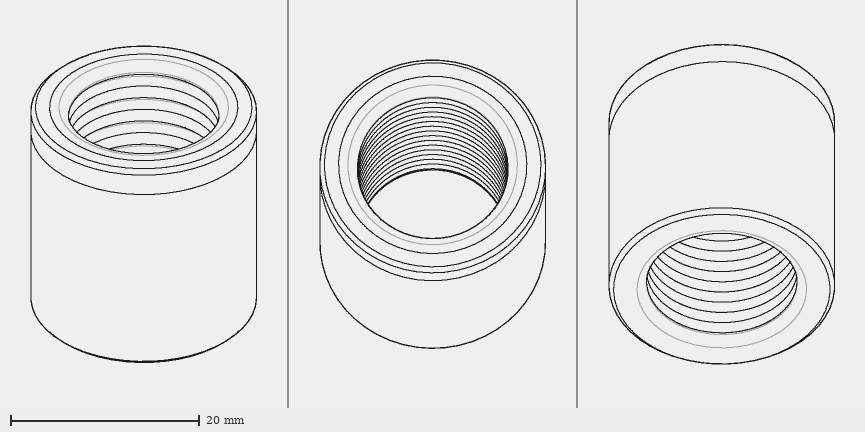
import cadquery as cq

length = 25.0
outer_radius = 12.0
bore_radius = 8.0
edge_chamfer = 0.5
mouth_round = 1.0

ring_height = 3.0
neck_radius = 10.0

groove_count = 8
groove_pitch = 3.0
groove_radius = 0.75

shoulder_height = length - ring_height


def tube(outer, inner, height):
    """Plain tube standing on the XY plane."""
    return cq.Workplane("XY").circle(outer).circle(inner).extrude(height)


def bore_groove(height):
    """Torus that cuts a half-round groove in the bore wall at the given height."""
    return cq.Workplane(cq.Solid.makeTorus(bore_radius, groove_radius, cq.Vector(0, 0, height)))


def make_bushing():
    """Grooved bushing with rounded mouths and a neck for the end ring."""
    body = tube(outer_radius, bore_radius, shoulder_height)
    neck = tube(neck_radius, bore_radius, length)
    body = body.union(neck)
    body = body.faces("<Z").edges(cq.selectors.RadiusNthSelector(-1)).chamfer(edge_chamfer)
    for end_face in (">Z", "<Z"):
        body = body.faces(end_face).edges(cq.selectors.RadiusNthSelector(0)).fillet(mouth_round)

    first_groove = (length - (groove_count - 1) * groove_pitch) / 2
    for index in range(groove_count):
        body = body.cut(bore_groove(first_groove + index * groove_pitch))
    return body


def make_end_ring():
    """Ring flush with the bushing outside and top, chamfered at its outer top edge."""
    ring = tube(outer_radius, neck_radius, ring_height)
    ring = ring.faces(">Z").edges(cq.selectors.RadiusNthSelector(-1)).chamfer(edge_chamfer)
    return ring.translate((0, 0, shoulder_height))


bushing = make_bushing()
end_ring = make_end_ring()

result = cq.Compound.makeCompound([bushing.solids().val(), end_ring.solids().val()])